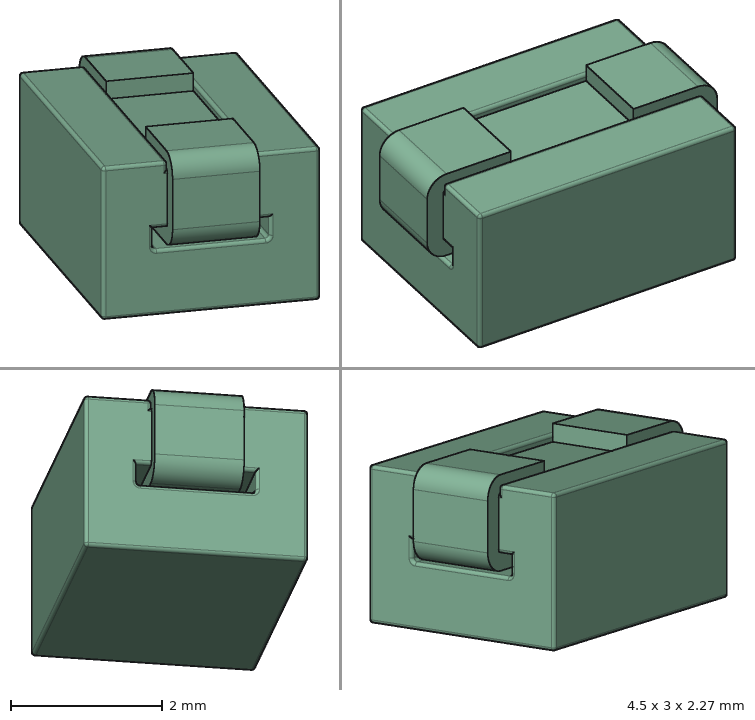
import cadquery as cq

core_length = 4.0
core_width = 3.0
core_height = 2.14
edge_radius = 0.05

strip_width = 1.2
strip_thickness = 0.25
clip_top = 2.274
clip_end_gap = 1.9
inner_bend_radius = edge_radius
outer_bend_radius = inner_bend_radius + strip_thickness
clip_length = core_length + 2 * strip_thickness

groove_floor = clip_top - strip_thickness
groove_depth = core_height - groove_floor

slot_width = 1.6
slot_floor = 0.92
slot_ceiling = 1.22
slot_height = slot_ceiling - slot_floor
slot_corner_radius = 0.05

clip_bottom = slot_ceiling - strip_thickness


def box_on_floor(length, width, height, floor):
    """Box centred on X and Y, standing on the given Z level."""
    return (
        cq.Workplane("XY")
        .workplane(offset=floor)
        .box(length, width, height, centered=(True, True, False))
    )


def make_core():
    """Block with a top groove and a through slot, all outer edges rounded."""
    block = box_on_floor(core_length, core_width, core_height, 0)
    groove = box_on_floor(core_length, strip_width, groove_depth, groove_floor)
    slot = (
        box_on_floor(core_length, slot_width, slot_height, slot_floor)
        .edges("|X and <Z")
        .fillet(slot_corner_radius)
    )
    core = block.cut(groove).cut(slot)
    return core.faces("<X or >X or <Z or >Z").edges().fillet(edge_radius)


def make_clip():
    """Strip bent into a flat loop that is open in the middle of its top."""
    clip_height = clip_top - clip_bottom
    inner_height = groove_floor - slot_ceiling
    outer_loop = (
        box_on_floor(clip_length, strip_width, clip_height, clip_bottom)
        .edges("|Y")
        .fillet(outer_bend_radius)
    )
    opening = (
        box_on_floor(core_length, strip_width, inner_height, slot_ceiling)
        .edges("|Y")
        .fillet(inner_bend_radius)
    )
    end_gap = box_on_floor(clip_end_gap, strip_width, strip_thickness, groove_floor)
    return outer_loop.cut(opening).cut(end_gap)


core = make_core()
clip = make_clip()

result = cq.Compound.makeCompound([core.val(), clip.val()])